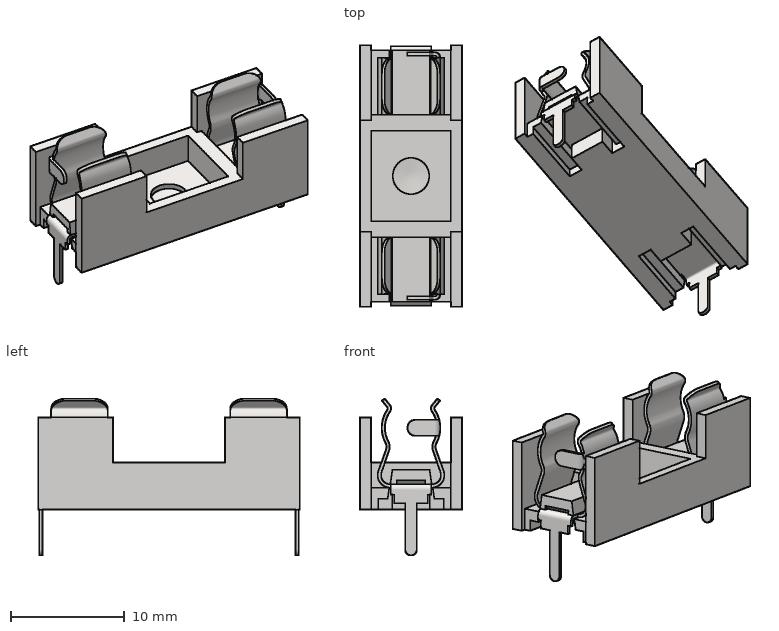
import cadquery as cq
import math

LENGTH = 23.05
WIDTH = 9.0
WALL = 1.0
WALL_HEIGHT = 8.11
TALL_WALL_INNER_Y = 4.9
BLOCK_HEIGHT = 4.15
BLOCK_HALF_LENGTH = 5.37
FLOOR_END_Y = 11.09

POCKET_HALF_LENGTH = 3.99
POCKET_FLOOR_Z = 1.38
SCREW_HOLE_DIAMETER = 3.2
SCREW_HOLE_DEPTH = 0.5
SCREW_HOLE_CONE_DEPTH = 0.14

LEDGE_TOP_Z = 1.94
LEDGE_UNDERSIDE_Z = 0.97
LEDGE_FOOT_X = 2.9
LEDGE_TOP_EDGE_X = 1.91
LEDGE_LOWER_EDGE_X = 2.05

TONGUE_TOP_Z = 3.53
TONGUE_TOP_HALF_WIDTH = 1.64
TONGUE_BASE_HALF_WIDTH = 1.82
PRY_NOTCH_HALF_WIDTH = 1.25
PRY_NOTCH_SIZE = 0.37
RIB_END_Y = 6.92

SHEET = 0.3
CLIP_OUTER_Y = 10.4
FINGER_WIDTH = CLIP_OUTER_Y - BLOCK_HALF_LENGTH

BASE_HALF_WIDTH = 1.85
BASE_BEND_RADIUS = 0.95
FINGER_LEAN = 19.5
FINGER_STRAIGHT = 1.98
WAIST_RADIUS = 0.92
BELLY_RADIUS = 2.65
BELLY_LOWER_ANGLE = 28.0
BELLY_UPPER_ANGLE = 35.0
NECK_RADIUS = 0.32
LIP_ANGLE = 39.0
LIP_LENGTH = 0.74
LIP_CORNER_WIDTH = 1.34
LIP_CORNER_HEIGHT = 1.2
LIP_CUT_DEPTH = 0.92

BEND_RADIUS = 0.35
STOP_WIDTH = 1.43
STOP_TIP_X = -0.32

TERMINAL_OUTER_Y = 11.43
TERMINAL_HALF_WIDTH = 1.8
SHOULDER_Z = 1.31
SHOULDER_HALF_WIDTH = 1.48
PIN_TOP_Z = 0.55
PIN_WIDTH = 1.04
PIN_TIP_Z = -4.03

HALF_LENGTH = LENGTH / 2
HALF_WIDTH = WIDTH / 2
INNER_HALF_WIDTH = HALF_WIDTH - WALL
BASE_MID_Z = LEDGE_TOP_Z + SHEET / 2
BASE_TOP_Z = LEDGE_TOP_Z + SHEET


def box(x_range, y_range, z_range):
    """Axis-aligned box between three pairs of limits."""
    size = [high - low for low, high in (x_range, y_range, z_range)]
    corner = (x_range[0], y_range[0], z_range[0])
    return cq.Workplane("XY").box(*size, centered=False).translate(corner)


def along_y(points, y_start, y_end):
    """Extrude an XZ polygon between two Y positions."""
    profile = cq.Workplane("XZ", origin=(0, y_start, 0)).polyline(points).close()
    return profile.extrude(y_start - y_end)


def tongue():
    """Tapered tongue above the clip base, with a pry notch at its free end."""
    outline = [
        (-TONGUE_BASE_HALF_WIDTH, BASE_TOP_Z),
        (TONGUE_BASE_HALF_WIDTH, BASE_TOP_Z),
        (TONGUE_TOP_HALF_WIDTH, TONGUE_TOP_Z),
        (-TONGUE_TOP_HALF_WIDTH, TONGUE_TOP_Z),
    ]
    notch = (
        cq.Workplane("YZ", origin=(-PRY_NOTCH_HALF_WIDTH, 0, 0))
        .moveTo(FLOOR_END_Y, BASE_TOP_Z)
        .lineTo(FLOOR_END_Y, BASE_TOP_Z + PRY_NOTCH_SIZE)
        .lineTo(FLOOR_END_Y - PRY_NOTCH_SIZE, BASE_TOP_Z)
        .close()
        .extrude(2 * PRY_NOTCH_HALF_WIDTH)
    )
    return along_y(outline, BLOCK_HALF_LENGTH, FLOOR_END_Y).cut(notch)


def ledge():
    """Ledge on the +X side, carried by a foot beside the wall."""
    outline = [
        (INNER_HALF_WIDTH, 0),
        (LEDGE_FOOT_X, 0),
        (LEDGE_FOOT_X, LEDGE_UNDERSIDE_Z),
        (LEDGE_LOWER_EDGE_X, LEDGE_UNDERSIDE_Z),
        (LEDGE_TOP_EDGE_X, LEDGE_TOP_Z),
        (INNER_HALF_WIDTH, LEDGE_TOP_Z),
    ]
    return along_y(outline, BLOCK_HALF_LENGTH, FLOOR_END_Y)


def clip_seat():
    """Everything the +Y end adds to the centre block."""
    wall = box((INNER_HALF_WIDTH, HALF_WIDTH), (TALL_WALL_INNER_Y, HALF_LENGTH), (0, WALL_HEIGHT))
    side = wall.union(ledge())
    rib = box(
        (-TONGUE_TOP_HALF_WIDTH, TONGUE_TOP_HALF_WIDTH),
        (BLOCK_HALF_LENGTH, RIB_END_Y),
        (0, LEDGE_TOP_Z),
    )
    return side.union(side.mirror("YZ")).union(tongue()).union(rib)


def block_recess():
    """Pocket in the centre block, with the conical-bottomed screw hole in its floor."""
    pocket = box(
        (-INNER_HALF_WIDTH, INNER_HALF_WIDTH),
        (-POCKET_HALF_LENGTH, POCKET_HALF_LENGTH),
        (POCKET_FLOOR_Z, BLOCK_HEIGHT),
    )
    hole_bottom_z = POCKET_FLOOR_Z - SCREW_HOLE_DEPTH
    hole = (
        cq.Workplane("XZ")
        .moveTo(0, POCKET_FLOOR_Z)
        .lineTo(SCREW_HOLE_DIAMETER / 2, POCKET_FLOOR_Z)
        .lineTo(SCREW_HOLE_DIAMETER / 2, hole_bottom_z)
        .lineTo(0, hole_bottom_z - SCREW_HOLE_CONE_DEPTH)
        .close()
        .revolve(360, (0, 0), (0, 1))
    )
    return pocket.union(hole)


def make_housing():
    block = box(
        (-HALF_WIDTH, HALF_WIDTH),
        (-BLOCK_HALF_LENGTH, BLOCK_HALF_LENGTH),
        (0, BLOCK_HEIGHT),
    )
    seat = clip_seat()
    return block.union(seat).union(seat.mirror("XZ")).cut(block_recess())


class SheetPath:
    """Middle line of a bent sheet: straights joined by tangent bends.

    The two coordinates and the heading, in degrees, are those of the plane it is drawn on.
    """

    def __init__(self, plane, start, heading):
        self.x, self.y = start
        self.heading = math.radians(heading)
        self.wire = plane.moveTo(*start)

    def straight(self, length):
        self.x += length * math.cos(self.heading)
        self.y += length * math.sin(self.heading)
        self.wire = self.wire.lineTo(self.x, self.y)
        return self

    def bend(self, radius, degrees):
        """Turn left for a positive angle, right for a negative one."""
        side = math.copysign(1, degrees)
        centre_x = self.x - side * radius * math.sin(self.heading)
        centre_y = self.y + side * radius * math.cos(self.heading)

        def arc_point(heading):
            return (
                centre_x + side * radius * math.sin(heading),
                centre_y - side * radius * math.cos(heading),
            )

        turn = math.radians(degrees)
        middle = arc_point(self.heading + turn / 2)
        self.heading += turn
        self.x, self.y = arc_point(self.heading)
        self.wire = self.wire.threePointArc(middle, (self.x, self.y))
        return self


def path_to_waist():
    """Middle line of the +X finger, from the centre of the base to the start of the belly."""
    return (
        SheetPath(cq.Workplane("XZ"), (0, BASE_MID_Z), 0)
        .straight(BASE_HALF_WIDTH)
        .bend(BASE_BEND_RADIUS, 90 + FINGER_LEAN)
        .straight(FINGER_STRAIGHT)
        .bend(WAIST_RADIUS, -FINGER_LEAN - BELLY_LOWER_ANGLE)
    )


def path_to_lip():
    """Middle line of the whole +X finger, up to the tip of the lip."""
    return (
        path_to_waist()
        .bend(BELLY_RADIUS, BELLY_LOWER_ANGLE + BELLY_UPPER_ANGLE)
        .bend(NECK_RADIUS, -BELLY_UPPER_ANGLE - LIP_ANGLE)
        .straight(LIP_LENGTH)
    )


def belly_centre():
    """Centre of the belly arc, in X and Z."""
    waist = path_to_waist()
    angle = math.radians(BELLY_LOWER_ANGLE)
    return (
        waist.x - BELLY_RADIUS * math.cos(angle),
        waist.y + BELLY_RADIUS * math.sin(angle),
    )


def lip_corners(tip):
    """Cutters that round both corners of the lip, square to the lip."""
    lean = math.radians(LIP_ANGLE)
    middle_y = CLIP_OUTER_Y - FINGER_WIDTH / 2
    lip_plane = cq.Plane(
        origin=(tip[0], middle_y, tip[1]),
        xDir=(0, 1, 0),
        normal=(math.cos(lean), 0, -math.sin(lean)),
    )
    half_width = FINGER_WIDTH / 2
    flat_half_width = half_width - LIP_CORNER_WIDTH
    cutters = []
    for side in (-1, 1):
        quarter = (
            cq.Workplane(lip_plane)
            .center(side * flat_half_width, -LIP_CORNER_HEIGHT)
            .ellipse(LIP_CORNER_WIDTH, LIP_CORNER_HEIGHT)
            .extrude(LIP_CUT_DEPTH, both=True)
        )
        corner = (
            cq.Workplane(lip_plane)
            .center(side * (half_width - LIP_CORNER_WIDTH / 2), -LIP_CORNER_HEIGHT / 2)
            .rect(LIP_CORNER_WIDTH, LIP_CORNER_HEIGHT)
            .extrude(LIP_CUT_DEPTH, both=True)
        )
        cutters.append(corner.cut(quarter))
    return cutters


def finger():
    path = path_to_lip()
    strip = (
        cq.Workplane("YZ", origin=(0, CLIP_OUTER_Y - FINGER_WIDTH / 2, BASE_MID_Z))
        .rect(FINGER_WIDTH, SHEET)
        .sweep(path.wire)
    )
    for cutter in lip_corners((path.x, path.y)):
        strip = strip.cut(cutter)
    return strip


def stop_arm():
    """Arm bent inward from the belly of the +X finger, with a round end."""
    centre_x, centre_z = belly_centre()
    sheet_x = centre_x + BELLY_RADIUS
    radius = STOP_WIDTH / 2
    bend_x = sheet_x - BEND_RADIUS
    path = (
        SheetPath(cq.Workplane("XY", origin=(0, 0, centre_z)), (sheet_x, CLIP_OUTER_Y), 90)
        .bend(BEND_RADIUS, 90)
        .straight(bend_x - STOP_TIP_X)
    )
    arm = (
        cq.Workplane("XZ", origin=(sheet_x, CLIP_OUTER_Y, centre_z))
        .rect(SHEET, STOP_WIDTH)
        .sweep(path.wire)
    )
    round_end = (
        cq.Workplane("XZ", origin=(0, CLIP_OUTER_Y, centre_z))
        .moveTo(sheet_x + SHEET, -radius)
        .lineTo(STOP_TIP_X + radius, -radius)
        .threePointArc((STOP_TIP_X, 0), (STOP_TIP_X + radius, radius))
        .lineTo(sheet_x + SHEET, radius)
        .close()
        .extrude(-BEND_RADIUS - SHEET)
    )
    belly_outside = (
        cq.Workplane("XZ", origin=(centre_x, CLIP_OUTER_Y, centre_z))
        .circle(BELLY_RADIUS + SHEET / 2)
        .extrude(-BEND_RADIUS - SHEET)
    )
    return arm.intersect(round_end).intersect(belly_outside)


def terminal():
    """Tab bent down from the outer edge of the base, ending in the solder pin."""
    plate_mid_y = TERMINAL_OUTER_Y - SHEET / 2
    bend_start_y = plate_mid_y - BEND_RADIUS
    bend_end_z = BASE_MID_Z - BEND_RADIUS
    path = (
        SheetPath(cq.Workplane("YZ"), (CLIP_OUTER_Y, BASE_MID_Z), 0)
        .straight(bend_start_y - CLIP_OUTER_Y)
        .bend(BEND_RADIUS, -90)
        .straight(bend_end_z - SHOULDER_Z)
    )
    tab = (
        cq.Workplane("XZ", origin=(0, CLIP_OUTER_Y, BASE_MID_Z))
        .rect(2 * TERMINAL_HALF_WIDTH, SHEET)
        .sweep(path.wire)
    )
    plate_y = (TERMINAL_OUTER_Y - SHEET, TERMINAL_OUTER_Y)
    shoulder = box((-SHOULDER_HALF_WIDTH, SHOULDER_HALF_WIDTH), plate_y, (PIN_TOP_Z, SHOULDER_Z))
    radius = PIN_WIDTH / 2
    pin = (
        cq.Workplane("XZ", origin=(0, TERMINAL_OUTER_Y, 0))
        .moveTo(-radius, PIN_TOP_Z)
        .lineTo(-radius, PIN_TIP_Z + radius)
        .threePointArc((0, PIN_TIP_Z), (radius, PIN_TIP_Z + radius))
        .lineTo(radius, PIN_TOP_Z)
        .close()
        .extrude(SHEET)
    )
    return tab.union(shoulder).union(pin)


def make_clip():
    """Fuse clip at the +Y end."""
    plain_finger = finger()
    return plain_finger.union(plain_finger.mirror("YZ")).union(stop_arm()).union(terminal())


housing = make_housing()
clip = make_clip()
clips = [clip, clip.mirror("XZ")]

result = cq.Compound.makeCompound([body.solids().val() for body in [housing, *clips]])